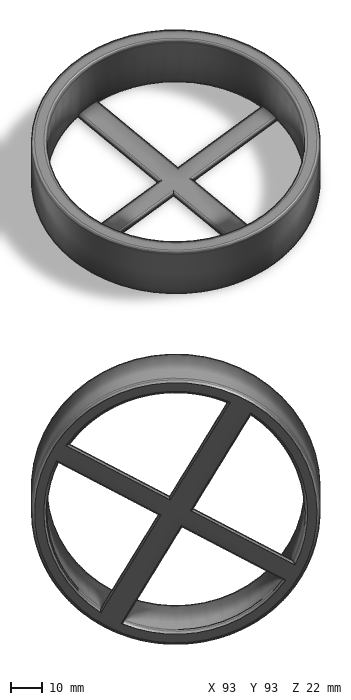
import cadquery as cq

outer_diameter = 93.0
inner_diameter = 83.0
height = 22.0
ring_edge_radius = 1.0
ring_bottom_chamfer = 1.0

x_bar_width = 8.5
y_bar_width = 7.0
bar_thickness = 2.0
bar_edge_radius = 0.7
bar_bottom_chamfer = 0.5

bar_length = (outer_diameter + inner_diameter) / 2


def make_ring():
    """Ring with rounded top rims and chamfered bottom rims that blend into the walls."""
    ring = cq.Workplane("XY").circle(outer_diameter / 2).circle(inner_diameter / 2).extrude(height)
    ring = ring.faces("<Z").chamfer(ring_bottom_chamfer)
    return ring.edges("%CIRCLE and (not <Z)").fillet(ring_edge_radius)


def make_bar(width):
    """Bar along X with rounded upper edges and chamfered lower edges that blend into the sides."""
    bar = cq.Workplane("XY").rect(bar_length, width).extrude(bar_thickness)
    bar = bar.edges("|X and <Z").chamfer(bar_bottom_chamfer)
    return bar.edges("|X and (not <Z)").fillet(bar_edge_radius)


x_bar = make_bar(x_bar_width)
y_bar = make_bar(y_bar_width).rotate((0, 0, 0), (0, 0, 1), 90)

result = make_ring().union(x_bar).union(y_bar)